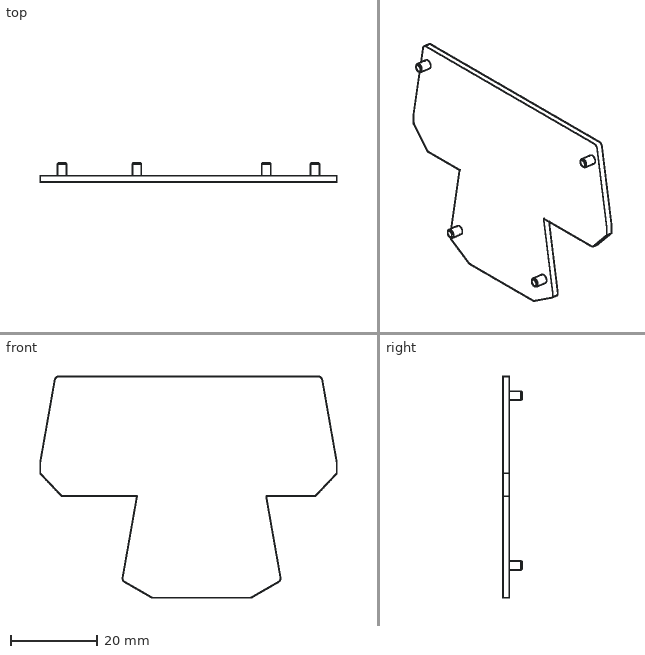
import cadquery as cq
import math

width = 69.0
height = 51.5
thickness = 1.5
shoulder_depth = 20.0
side_end_depth = 22.55
body_depth = 27.9
body_bottom_width = 58.9
side_angle = 10.0

tab_center_x = 3.05
tab_neck_width = 30.1
tab_bottom_width = 23.05
tab_corner_depth = 47.5

corner_radius = 1.05

overall_depth = 4.5
pin_diameter = 2.15
pin_chamfer = 0.3
body_pin_spacing = 58.8
body_pin_depth = 4.5
tab_pin_spacing = 30.1
tab_pin_depth = 43.95

lean = math.tan(math.radians(side_angle))
top_width = width - 2 * shoulder_depth * lean
tab_width = tab_neck_width + 2 * (tab_corner_depth - body_depth) * lean


def make_plate():
    """Extrude the outline toward +Y from the front face at y = 0."""
    body_half = [
        (top_width / 2, 0),
        (width / 2, -shoulder_depth),
        (width / 2, -side_end_depth),
        (body_bottom_width / 2, -body_depth),
    ]
    tab_half = [
        (tab_neck_width / 2, -body_depth),
        (tab_width / 2, -tab_corner_depth),
        (tab_bottom_width / 2, -height),
    ]
    right = body_half + [(tab_center_x + x, z) for x, z in tab_half]
    left = [(-x, z) for x, z in body_half] + [(tab_center_x - x, z) for x, z in tab_half]
    plate = cq.Workplane("XZ").polyline(right + left[::-1]).close().extrude(-thickness)

    rounded_corners = [
        (-top_width / 2, 0),
        (top_width / 2, 0),
        (tab_center_x - tab_width / 2, -tab_corner_depth),
        (tab_center_x + tab_width / 2, -tab_corner_depth),
    ]
    for x, z in rounded_corners:
        corner = cq.selectors.NearestToPointSelector((x, thickness / 2, z))
        plate = plate.edges("|Y").edges(corner).fillet(corner_radius)
    return plate


def make_pin(x, z):
    """Make a pin through the plate with a chamfered tip at the back."""
    pin = cq.Workplane("XZ").center(x, z).circle(pin_diameter / 2).extrude(-overall_depth)
    return pin.faces(">Y").chamfer(pin_chamfer)


result = make_plate()
for side in (-1, 1):
    result = result.union(make_pin(side * body_pin_spacing / 2, -body_pin_depth))
    result = result.union(make_pin(tab_center_x + side * tab_pin_spacing / 2, -tab_pin_depth))